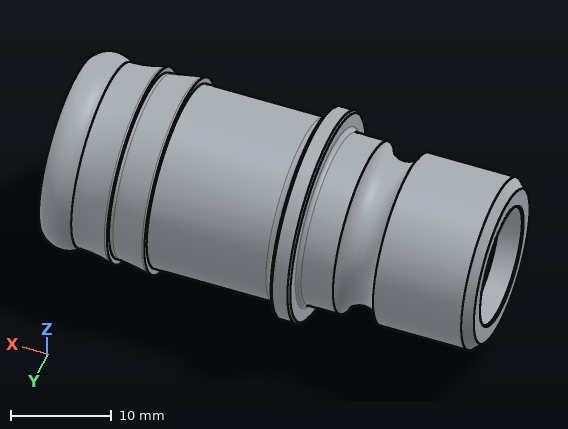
import cadquery as cq
import math

length = 45.5
groove_start = 10.35
groove_end = 14.55
flange_start = 18.4
flange_end = 20.48
first_barb_start = 34.05
first_barb_end = 37.6
second_barb_start = 38.0
bead_start = 42.0
bead_crest = 43.55

plug_radius = 17.9 / 2
plug_face_radius = 16.0 / 2
flange_radius = 22.0 / 2
hose_radius = 19.1 / 2
barb_radius = 20.45 / 2
valley_radius = 19.25 / 2
end_radius = 18.85 / 2

plug_chamfer_length = 1.0
groove_depth = 1.45
flange_chamfer = 0.25
plug_fillet = 0.45
hose_fillet = 0.95
barb_land = 0.27

bore_radius = 11.0 / 2
counterbore_radius = 12.2 / 2
counterbore_depth = 2.55
mouth_chamfer = 0.15

fillet_inset = 1 - math.sqrt(0.5)


def add_plug(profile):
    """Chamfered plug with a rounded locking groove."""
    return (
        profile.lineTo(0, plug_face_radius)
        .lineTo(plug_chamfer_length, plug_radius)
        .lineTo(groove_start, plug_radius)
        .threePointArc(
            ((groove_start + groove_end) / 2, plug_radius - groove_depth),
            (groove_end, plug_radius),
        )
        .lineTo(flange_start - plug_fillet, plug_radius)
    )


def add_flange(profile):
    """Chamfered flange, filleted into the plug and into the hose spigot."""
    return (
        profile.threePointArc(
            (flange_start - plug_fillet * fillet_inset, plug_radius + plug_fillet * fillet_inset),
            (flange_start, plug_radius + plug_fillet),
        )
        .lineTo(flange_start, flange_radius - flange_chamfer)
        .lineTo(flange_start + flange_chamfer, flange_radius)
        .lineTo(flange_end - flange_chamfer, flange_radius)
        .lineTo(flange_end, flange_radius - flange_chamfer)
        .lineTo(flange_end, hose_radius + hose_fillet)
        .threePointArc(
            (flange_end + hose_fillet * fillet_inset, hose_radius + hose_fillet * fillet_inset),
            (flange_end + hose_fillet, hose_radius),
        )
    )


def add_barbs(profile):
    """Conical first barb, then a second barb whose flank flattens out before the bead."""
    flank_start = second_barb_start + barb_land
    flank_middle = (flank_start + bead_start) / 2
    flank_middle_radius = valley_radius + (barb_radius - valley_radius) / 4
    return (
        profile.lineTo(first_barb_start, hose_radius)
        .lineTo(first_barb_start, barb_radius)
        .lineTo(first_barb_start + barb_land, barb_radius)
        .lineTo(first_barb_end, valley_radius)
        .lineTo(second_barb_start, valley_radius)
        .lineTo(second_barb_start, barb_radius)
        .lineTo(flank_start, barb_radius)
        .threePointArc((flank_middle, flank_middle_radius), (bead_start, valley_radius))
    )


def add_bead(profile):
    """Rounded bead at the hose end."""
    return profile.threePointArc((bead_crest, barb_radius), (length, end_radius))


def add_bore(profile):
    """Through bore with a chamfered counterbore at the plug end."""
    return (
        profile.lineTo(length, bore_radius)
        .lineTo(counterbore_depth, bore_radius)
        .lineTo(counterbore_depth, counterbore_radius)
        .lineTo(mouth_chamfer, counterbore_radius)
        .close()
    )


profile = cq.Workplane("XY").moveTo(0, counterbore_radius + mouth_chamfer)
for add_section in (add_plug, add_flange, add_barbs, add_bead, add_bore):
    profile = add_section(profile)

result = profile.revolve(360, (0, 0, 0), (1, 0, 0))